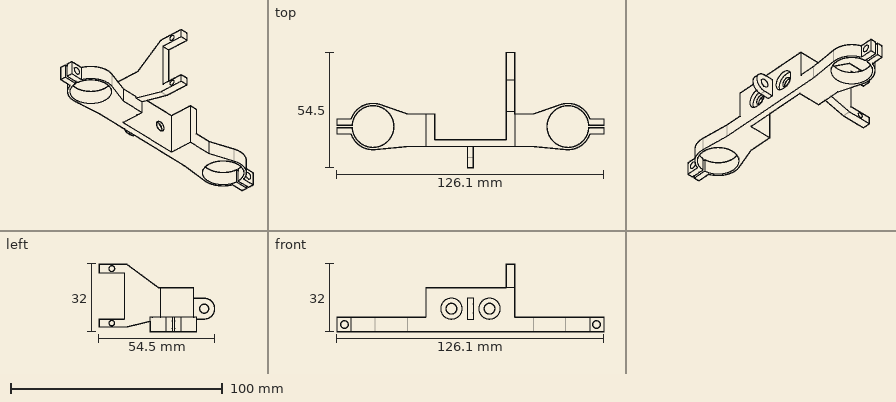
import cadquery as cq
import math

TOTAL_LENGTH = 126.14
BEAM_HEIGHT = 7.0
BRACKET_HEIGHT = 21.0
FRONT_Y = -9.5
BACK_Y = 6.0

RING_SPACING = 92.0
RING_OUTER_RADIUS = 11.0
RING_BORE_RADIUS = 9.8
BEAM_STRAIGHT_LENGTH = 59.5
EAR_THICKNESS = 3.05
CLAMP_GAP = 1.1
EAR_HOLE_DIAMETER = 3.5
EAR_HOLE_SPACING = 119.0

BRACKET_WIDTH = 42.0
SIDE_WALL = 4.2
FRONT_WALL = 3.3
SCREW_SPACING = 18.0
SCREW_HOLE_DIAMETER = 5.0
COUNTERBORE_DIAMETER = 10.0
COUNTERBORE_DEPTH = 2.0
SCREW_Z = 11.0

LUG_THICKNESS = 2.8
LUG_RADIUS = 5.0
LUG_REACH = 5.0
LUG_HOLE_DIAMETER = 4.2

ARM_END_Y = 35.04
ARM_TOP_Z = 32.0
ARM_BOTTOM_Z = 2.3
ARM_BEND_Y = 22.0
ARM_TOP_SLOPE_START_Y = 7.1
ARM_ROOT_BOTTOM_Z = 6.2
FORK_FLOOR_Y = 23.2
FORK_TOP_Z = 27.8
FORK_BOTTOM_Z = 6.1
FORK_HOLE_TOP_DIAMETER = 2.63
FORK_HOLE_BOTTOM_DIAMETER = 2.54
FORK_HOLE_Y = 29.1
FORK_HOLE_TOP_Z = 29.9
FORK_HOLE_BOTTOM_Z = 4.2

RING_X = RING_SPACING / 2
BRACKET_SIDE_X = BRACKET_WIDTH / 2
BEAM_STRAIGHT_X = BEAM_STRAIGHT_LENGTH / 2


def box(x_min, x_max, y_min, y_max, z_min, z_max):
    """Axis-aligned block given by its limits."""
    size = (x_max - x_min, y_max - y_min, z_max - z_min)
    return cq.Workplane("XY").box(*size, centered=False).translate((x_min, y_min, z_min))


def ring_tangent_point(y, turn):
    """Point where a line from the straight beam's corner at height y touches the +X ring."""
    dx = BEAM_STRAIGHT_X - RING_X
    to_corner = math.atan2(y, dx)
    angle = to_corner + turn * math.acos(RING_OUTER_RADIUS / math.hypot(dx, y))
    return (RING_X + RING_OUTER_RADIUS * math.cos(angle), RING_OUTER_RADIUS * math.sin(angle))


def clamp_end():
    """Half beam on the +X side, blending tangentially into its split clamp ring."""
    half_beam = (
        cq.Workplane("XY")
        .moveTo(0, FRONT_Y)
        .lineTo(BEAM_STRAIGHT_X, FRONT_Y)
        .lineTo(*ring_tangent_point(FRONT_Y, 1))
        .threePointArc((RING_X + RING_OUTER_RADIUS, 0), ring_tangent_point(BACK_Y, -1))
        .lineTo(BEAM_STRAIGHT_X, BACK_Y)
        .lineTo(0, BACK_Y)
        .close()
        .extrude(BEAM_HEIGHT)
    )
    end_x = TOTAL_LENGTH / 2
    ear_y = CLAMP_GAP / 2 + EAR_THICKNESS
    ears = box(RING_X, end_x, -ear_y, ear_y, 0, BEAM_HEIGHT)
    bore = cq.Workplane("XY").center(RING_X, 0).circle(RING_BORE_RADIUS).extrude(BEAM_HEIGHT)
    slit = box(RING_X, end_x, -CLAMP_GAP / 2, CLAMP_GAP / 2, 0, BEAM_HEIGHT)
    screw_hole = (
        cq.Workplane("XZ")
        .center(EAR_HOLE_SPACING / 2, BEAM_HEIGHT / 2)
        .circle(EAR_HOLE_DIAMETER / 2)
        .extrude(ear_y, both=True)
    )
    return half_beam.union(ears).cut(bore).cut(slit).cut(screw_hole)


def bracket_block():
    return box(-BRACKET_SIDE_X, BRACKET_SIDE_X, FRONT_Y, BACK_Y, 0, BRACKET_HEIGHT)


def bracket_opening():
    """Space between the side walls, open to the rear, top and bottom."""
    half_width = BRACKET_SIDE_X - SIDE_WALL
    return box(-half_width, half_width, FRONT_Y + FRONT_WALL, BACK_Y, 0, BRACKET_HEIGHT)


def front_wall_holes():
    """Two screw holes through the front wall, counterbored from the front."""
    centres = [(-SCREW_SPACING / 2, SCREW_Z), (SCREW_SPACING / 2, SCREW_Z)]
    front = cq.Workplane("XZ", origin=(0, FRONT_Y, 0)).pushPoints(centres)
    through = front.circle(SCREW_HOLE_DIAMETER / 2).extrude(-FRONT_WALL)
    counterbores = front.circle(COUNTERBORE_DIAMETER / 2).extrude(-COUNTERBORE_DEPTH)
    return through.union(counterbores)


def front_lug():
    """Round-nosed lug standing out from the middle of the front wall."""
    centre_y = FRONT_Y - LUG_REACH
    return (
        cq.Workplane("YZ")
        .moveTo(FRONT_Y, SCREW_Z + LUG_RADIUS)
        .lineTo(centre_y, SCREW_Z + LUG_RADIUS)
        .threePointArc((centre_y - LUG_RADIUS, SCREW_Z), (centre_y, SCREW_Z - LUG_RADIUS))
        .lineTo(FRONT_Y, SCREW_Z - LUG_RADIUS)
        .close()
        .moveTo(centre_y, SCREW_Z)
        .circle(LUG_HOLE_DIAMETER / 2)
        .extrude(LUG_THICKNESS / 2, both=True)
    )


def rear_arm():
    """Plate continuing the +X side wall rearwards into a two-pronged fork."""
    inner_face = cq.Workplane("YZ", origin=(BRACKET_SIDE_X - SIDE_WALL, 0, 0))
    outline = [
        (BACK_Y, BRACKET_HEIGHT),
        (ARM_TOP_SLOPE_START_Y, BRACKET_HEIGHT),
        (ARM_BEND_Y, ARM_TOP_Z),
        (ARM_END_Y, ARM_TOP_Z),
        (ARM_END_Y, FORK_TOP_Z),
        (FORK_FLOOR_Y, FORK_TOP_Z),
        (FORK_FLOOR_Y, FORK_BOTTOM_Z),
        (ARM_END_Y, FORK_BOTTOM_Z),
        (ARM_END_Y, ARM_BOTTOM_Z),
        (ARM_BEND_Y, ARM_BOTTOM_Z),
        (BACK_Y, ARM_ROOT_BOTTOM_Z),
    ]
    plate = inner_face.polyline(outline).close().extrude(SIDE_WALL)
    prong_holes = [
        (FORK_HOLE_TOP_Z, FORK_HOLE_TOP_DIAMETER),
        (FORK_HOLE_BOTTOM_Z, FORK_HOLE_BOTTOM_DIAMETER),
    ]
    for hole_z, diameter in prong_holes:
        hole = inner_face.moveTo(FORK_HOLE_Y, hole_z).circle(diameter / 2).extrude(SIDE_WALL)
        plate = plate.cut(hole)
    return plate


right_end = clamp_end()
body = right_end.union(right_end.mirror("YZ")).union(bracket_block())
body = body.cut(bracket_opening()).cut(front_wall_holes())
result = body.union(front_lug()).union(rear_arm())